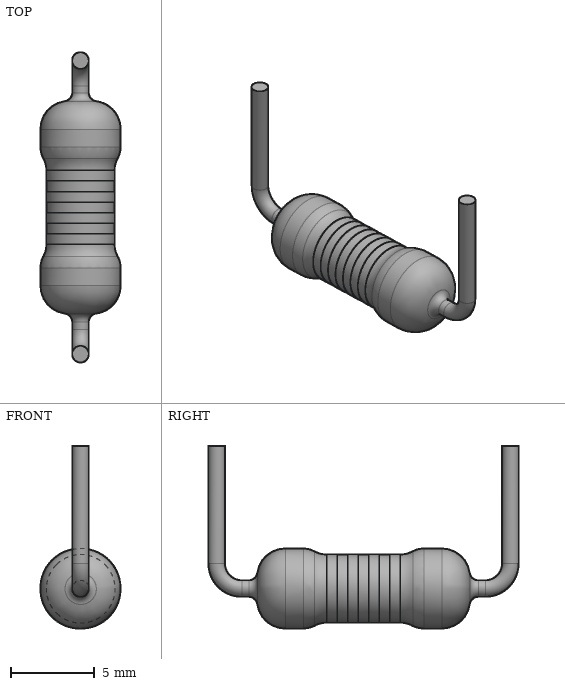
import cadquery as cq
import math


body_length = 12.7
cap_radius = 4.8 / 2
cap_corner_radius = 1.7
cap_inner_end = 3.6
barrel_radius = 4.08 / 2
shoulder_radius = 1.4
neck_radius = 1.5

band_radius = 4.1 / 2
band_count = 4

lead_diameter = 1.0
lead_pitch = 17.5
lead_top = 8.5
lead_bend_radius = 1.5
lead_fillet_radius = 0.5

body_end = body_length / 2
lead_radius = lead_diameter / 2
lead_y = lead_pitch / 2
bend_start = lead_y - lead_bend_radius

arc_radius_sum = shoulder_radius + neck_radius
arc_angle = math.acos(1 - (cap_radius - barrel_radius) / arc_radius_sum)
barrel_end = cap_inner_end - arc_radius_sum * math.sin(arc_angle)

band_width = 2 * barrel_end / (2 * band_count - 1)

corner_y = body_end - cap_corner_radius
corner_r = cap_radius - cap_corner_radius
flare_r = lead_radius + lead_fillet_radius
flare_y = corner_y + math.sqrt(
    (cap_corner_radius + lead_fillet_radius) ** 2 - (flare_r - corner_r) ** 2
)
flare_angle = math.atan2(flare_r - corner_r, flare_y - corner_y)


def arc_point(center_r, center_y, radius, angle):
    """Point on an arc as (distance from axis, Y); the angle runs from +Y away from the axis."""
    return (center_r + radius * math.sin(angle), center_y + radius * math.cos(angle))


def make_cap():
    """The +Y end of the body, from the end of the barrel to the flare around the lead."""
    quarter_turn = math.pi / 2
    shoulder_center = (cap_radius - shoulder_radius, cap_inner_end)
    neck_center = (barrel_radius + neck_radius, barrel_end)
    flare_center = (flare_r, flare_y)
    corner_center = (corner_r, corner_y)
    corner_mid_angle = (quarter_turn + flare_angle) / 2
    flare_start_angle = flare_angle + math.pi
    flare_mid_angle = (flare_start_angle + 3 * quarter_turn) / 2

    profile = (
        cq.Workplane("XY")
        .moveTo(0, barrel_end)
        .lineTo(barrel_radius, barrel_end)
        .threePointArc(
            arc_point(*neck_center, neck_radius, arc_angle / 2 - quarter_turn),
            arc_point(*neck_center, neck_radius, arc_angle - quarter_turn),
        )
        .threePointArc(
            arc_point(*shoulder_center, shoulder_radius, quarter_turn + arc_angle / 2),
            (cap_radius, cap_inner_end),
        )
        .lineTo(cap_radius, corner_y)
        .threePointArc(
            arc_point(*corner_center, cap_corner_radius, corner_mid_angle),
            arc_point(*corner_center, cap_corner_radius, flare_angle),
        )
        .threePointArc(
            arc_point(*flare_center, lead_fillet_radius, flare_mid_angle),
            (lead_radius, flare_y),
        )
        .lineTo(0, flare_y)
        .close()
    )
    return profile.revolve(360, (0, 0, 0), (0, 1, 0))


def make_lead():
    """The +Y lead: out of the body, round the bend and up to the tip."""
    bend_mid_offset = lead_bend_radius * math.sin(math.pi / 4)
    path = (
        cq.Workplane("YZ")
        .moveTo(flare_y, 0)
        .lineTo(bend_start, 0)
        .threePointArc(
            (bend_start + bend_mid_offset, lead_bend_radius - bend_mid_offset),
            (lead_y, lead_bend_radius),
        )
        .lineTo(lead_y, lead_top)
    )
    return cq.Workplane("XZ", origin=(0, flare_y, 0)).circle(lead_radius).sweep(path)


def make_cylinder(radius, start_y, length):
    """A cylinder on the body axis, from start_y towards +Y."""
    return cq.Workplane("XZ", origin=(0, start_y, 0)).circle(radius).extrude(-length)


cap_and_lead = make_cap().union(make_lead())
barrel = make_cylinder(barrel_radius, -barrel_end, 2 * barrel_end)
for index in range(band_count):
    band_start = -barrel_end + 2 * index * band_width
    barrel = barrel.union(make_cylinder(band_radius, band_start, band_width))

result = barrel.union(cap_and_lead).union(cap_and_lead.mirror("XZ"))